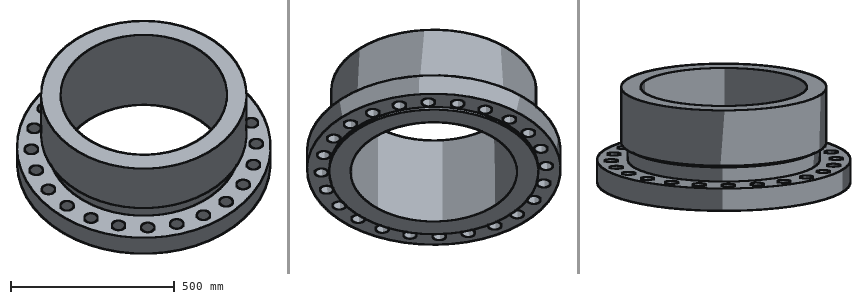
import cadquery as cq

flange_diameter = 774.5
flange_thickness = 70.5
raised_face_diameter = 639.0
raised_face_height = 10.0

neck_diameter = 587.0
neck_height = 44.0
flare_height = 10.0
collar_diameter = 627.0
bore_diameter = 508.0
overall_height = 308.0

bolt_count = 24
bolt_circle_diameter = 687.0
bolt_hole_diameter = 41.0

flange_top = raised_face_height + flange_thickness
neck_top = flange_top + neck_height
collar_bottom = neck_top + flare_height


def make_body():
    """Revolve half of the section, given as (radius, height), about the Z axis."""
    flange_radius = flange_diameter / 2
    raised_face_radius = raised_face_diameter / 2
    neck_radius = neck_diameter / 2
    collar_radius = collar_diameter / 2
    bore_radius = bore_diameter / 2
    section = [
        (bore_radius, 0),
        (raised_face_radius, 0),
        (raised_face_radius, raised_face_height),
        (flange_radius, raised_face_height),
        (flange_radius, flange_top),
        (neck_radius, flange_top),
        (neck_radius, neck_top),
        (collar_radius, collar_bottom),
        (collar_radius, overall_height),
        (bore_radius, overall_height),
    ]
    return cq.Workplane("XZ").polyline(section).close().revolve(360, (0, 0, 0), (0, 1, 0))


def make_bolt_holes():
    """Ring of cylinders that pass through the flange, the first one on the +X axis."""
    return (
        cq.Workplane("XY")
        .polarArray(bolt_circle_diameter / 2, 0, 360, bolt_count)
        .circle(bolt_hole_diameter / 2)
        .extrude(flange_top)
    )


result = make_body().cut(make_bolt_holes())